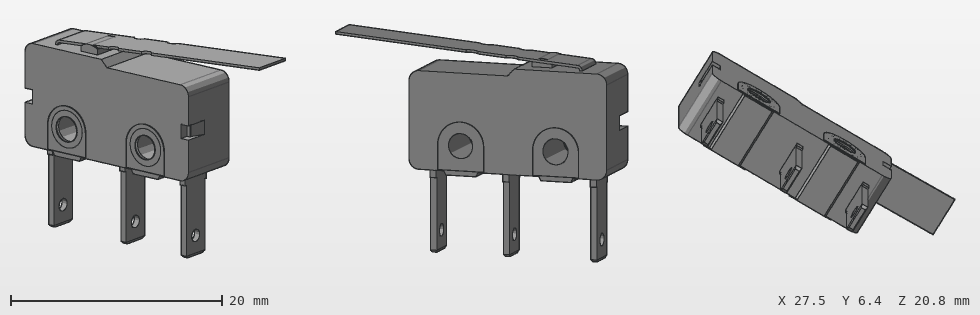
import cadquery as cq
import math


BODY_LEFT = -5.1
BODY_LENGTH = 19.8
BODY_RIGHT = BODY_LEFT + BODY_LENGTH
BODY_WIDTH = 6.2
BODY_BOTTOM = -2.5
BODY_HEIGHT = 10.2
BODY_TOP = BODY_BOTTOM + BODY_HEIGHT
CORNER_RADIUS = 1.0
STEP_DROP = 0.7
STEP_START = 4.15
FRONT_Y = -BODY_WIDTH / 2

HOLE_PITCH = 9.5
HOLES = ((0.0, 2.5), (HOLE_PITCH, 2.4))
PAD_RADIUS = 2.3
PAD_THICKNESS = 0.1
PAD_LIFT = 0.1
PAD_BOTTOM = BODY_BOTTOM + PAD_LIFT
OVERALL_WIDTH = BODY_WIDTH + 2 * PAD_THICKNESS
RECESS_DIAMETER = 3.7
RECESS_DEPTH = 0.3
FOOT_TOP_LENGTH = 3.4
FOOT_BOTTOM_LENGTH = 3.0
FOOT_DEPTH = 0.4

NOTCH_BOTTOM = 1.7
NOTCH_HEIGHT = 1.4
NOTCH_DEPTH = 0.9
RAMP_DEPTH = 0.55
RAMP_START_Y = -0.65
RAMP_END_Y = -2.0
LEDGE_END_Y = -2.2

TERMINAL_X = (-3.25, 5.5, 12.8)
TERMINAL_THICKNESS = 0.64
TERMINAL_LENGTH = 8.25
TERMINAL_WIDTH = 2.85
TERMINAL_ROOT = 0.5
SHOULDER_WIDTH = 3.2
SHOULDER_LENGTH = 1.0
TIP_HEIGHT = 0.25
TIP_SIDE_CHAMFER = 0.3
TIP_FACE_CHAMFER = 0.1
TERMINAL_HOLE = 1.2
TERMINAL_HOLE_RISE = 1.98

OVERALL_LENGTH = 27.51
OVERALL_HEIGHT = 20.82
LEVER_END_X = BODY_LEFT + OVERALL_LENGTH
LEVER_END_Z = BODY_BOTTOM - TERMINAL_LENGTH + OVERALL_HEIGHT
LEVER_ANGLE = 4.38
LEVER_THICKNESS = 0.25
LEVER_WIDTH = 4.0
LEVER_LEFT = -2.27
LEVER_BEND_RADIUS = 0.5
LEVER_ROOT = 0.5
SCALLOP_X = (4.75, 8.75)
SCALLOP_RADIUS = 0.72
SCALLOP_DEPTH = 0.34

PLUNGER_X = 1.98
PLUNGER_LENGTH = 2.0
PLUNGER_FRONT_Y = -2.2
PLUNGER_BACK_Y = 1.33
PLUNGER_CROWN_RADIUS = 3.7 / 2
PLUNGER_TOP = BODY_TOP + 0.85
PLUNGER_ROOT = 0.5


def centred_prism(profile, width):
    """Extrude an XZ profile symmetrically about the plane Y = 0."""
    return profile.extrude(width / 2, both=True)


def make_housing():
    low_top = BODY_TOP - STEP_DROP
    outline = (
        cq.Workplane("XZ")
        .moveTo(BODY_LEFT, BODY_BOTTOM)
        .lineTo(BODY_RIGHT, BODY_BOTTOM)
        .lineTo(BODY_RIGHT, low_top)
        .lineTo(STEP_START + STEP_DROP, low_top)
        .lineTo(STEP_START, BODY_TOP)
        .lineTo(BODY_LEFT, BODY_TOP)
        .close()
    )
    body = centred_prism(outline, BODY_WIDTH)
    return body.edges("|Y and (<X or >X)").fillet(CORNER_RADIUS)


def make_pad(x):
    outline = (
        cq.Workplane("XZ")
        .moveTo(x - PAD_RADIUS, PAD_BOTTOM)
        .lineTo(x + PAD_RADIUS, PAD_BOTTOM)
        .lineTo(x + PAD_RADIUS, 0)
        .threePointArc((x, PAD_RADIUS), (x - PAD_RADIUS, 0))
        .close()
    )
    return centred_prism(outline, OVERALL_WIDTH)


def make_foot(x):
    outline = cq.Workplane("XZ").polyline([
        (x - FOOT_TOP_LENGTH / 2, BODY_BOTTOM),
        (x + FOOT_TOP_LENGTH / 2, BODY_BOTTOM),
        (x + FOOT_BOTTOM_LENGTH / 2, BODY_BOTTOM - FOOT_DEPTH),
        (x - FOOT_BOTTOM_LENGTH / 2, BODY_BOTTOM - FOOT_DEPTH),
    ]).close()
    return centred_prism(outline, BODY_WIDTH)


def make_hole(x, diameter):
    return centred_prism(cq.Workplane("XZ").center(x, 0).circle(diameter / 2), OVERALL_WIDTH)


def make_recess(x):
    """Annular recess around a hole, starting at the housing face behind the front pad."""
    return (
        cq.Workplane("XZ", origin=(x, FRONT_Y + RECESS_DEPTH, 0))
        .circle(RECESS_DIAMETER / 2)
        .extrude(RECESS_DEPTH)
    )


def make_notch(end_x, inward):
    """Ramped notch in an end face; inward is the X direction into the housing."""
    ramp_x = end_x + inward * RAMP_DEPTH
    floor_x = end_x + inward * NOTCH_DEPTH
    return (
        cq.Workplane("XY", origin=(0, 0, NOTCH_BOTTOM))
        .polyline([
            (end_x, RAMP_START_Y),
            (ramp_x, RAMP_END_Y),
            (ramp_x, LEDGE_END_Y),
            (floor_x, LEDGE_END_Y),
            (floor_x, FRONT_Y),
            (end_x, FRONT_Y),
        ])
        .close()
        .extrude(NOTCH_HEIGHT)
    )


def make_terminal(x):
    tip_z = BODY_BOTTOM - TERMINAL_LENGTH
    blade = cq.Workplane("XY", origin=(x, 0, tip_z + TIP_HEIGHT)).rect(
        TERMINAL_THICKNESS, TERMINAL_WIDTH
    ).extrude(TERMINAL_LENGTH - TIP_HEIGHT)
    tip = (
        cq.Workplane("XY", origin=(x, 0, tip_z))
        .rect(TERMINAL_THICKNESS - 2 * TIP_FACE_CHAMFER, TERMINAL_WIDTH - 2 * TIP_SIDE_CHAMFER)
        .workplane(offset=TIP_HEIGHT)
        .rect(TERMINAL_THICKNESS, TERMINAL_WIDTH)
        .loft(ruled=True)
    )
    shoulder = cq.Workplane("XY", origin=(x, 0, BODY_BOTTOM - SHOULDER_LENGTH)).rect(
        TERMINAL_THICKNESS, SHOULDER_WIDTH
    ).extrude(SHOULDER_LENGTH + TERMINAL_ROOT)
    hole = (
        cq.Workplane("YZ", origin=(x, 0, tip_z + TERMINAL_HOLE_RISE))
        .circle(TERMINAL_HOLE / 2)
        .extrude(TERMINAL_THICKNESS, both=True)
    )
    return blade.union(tip).union(shoulder).cut(hole)


def make_lever():
    slope = math.tan(math.radians(LEVER_ANGLE))
    drop = LEVER_THICKNESS / math.cos(math.radians(LEVER_ANGLE))
    inner_left = LEVER_LEFT + LEVER_THICKNESS
    leg_bottom = BODY_TOP - LEVER_ROOT

    def top_z(x):
        return LEVER_END_Z - slope * (LEVER_END_X - x)

    outline = cq.Workplane("XZ").polyline([
        (LEVER_LEFT, leg_bottom),
        (inner_left, leg_bottom),
        (inner_left, top_z(inner_left) - drop),
        (LEVER_END_X, LEVER_END_Z - drop),
        (LEVER_END_X, LEVER_END_Z),
        (LEVER_LEFT, top_z(LEVER_LEFT)),
    ]).close()
    lever = centred_prism(outline, LEVER_WIDTH)
    outer_bend = cq.selectors.NearestToPointSelector((LEVER_LEFT, 0, top_z(LEVER_LEFT)))
    inner_bend = cq.selectors.NearestToPointSelector((inner_left, 0, top_z(inner_left) - drop))
    lever = lever.edges(outer_bend).fillet(LEVER_BEND_RADIUS)
    lever = lever.edges(inner_bend).fillet(LEVER_BEND_RADIUS - LEVER_THICKNESS)

    scallop_y = LEVER_WIDTH / 2 + SCALLOP_RADIUS - SCALLOP_DEPTH
    scallops = (
        cq.Workplane("XY", origin=(0, 0, BODY_TOP))
        .pushPoints([(x, side * scallop_y) for x in SCALLOP_X for side in (-1, 1)])
        .circle(SCALLOP_RADIUS)
        .extrude(LEVER_END_Z - BODY_TOP)
    )
    return lever.cut(scallops)


def make_plunger():
    half = PLUNGER_LENGTH / 2
    crown_sag = PLUNGER_CROWN_RADIUS - math.sqrt(PLUNGER_CROWN_RADIUS**2 - half**2)
    shoulder_z = PLUNGER_TOP - crown_sag
    root_z = BODY_TOP - PLUNGER_ROOT
    return (
        cq.Workplane("XZ", origin=(0, PLUNGER_BACK_Y, 0))
        .moveTo(PLUNGER_X - half, root_z)
        .lineTo(PLUNGER_X + half, root_z)
        .lineTo(PLUNGER_X + half, shoulder_z)
        .threePointArc((PLUNGER_X, PLUNGER_TOP), (PLUNGER_X - half, shoulder_z))
        .close()
        .extrude(PLUNGER_BACK_Y - PLUNGER_FRONT_Y)
    )


result = make_housing()
for hole_x, hole_diameter in HOLES:
    result = result.union(make_pad(hole_x)).union(make_foot(hole_x))
    result = result.cut(make_hole(hole_x, hole_diameter)).cut(make_recess(hole_x))
result = result.cut(make_notch(BODY_LEFT, 1)).cut(make_notch(BODY_RIGHT, -1))
for terminal_x in TERMINAL_X:
    result = result.union(make_terminal(terminal_x))
result = result.union(make_plunger()).union(make_lever())